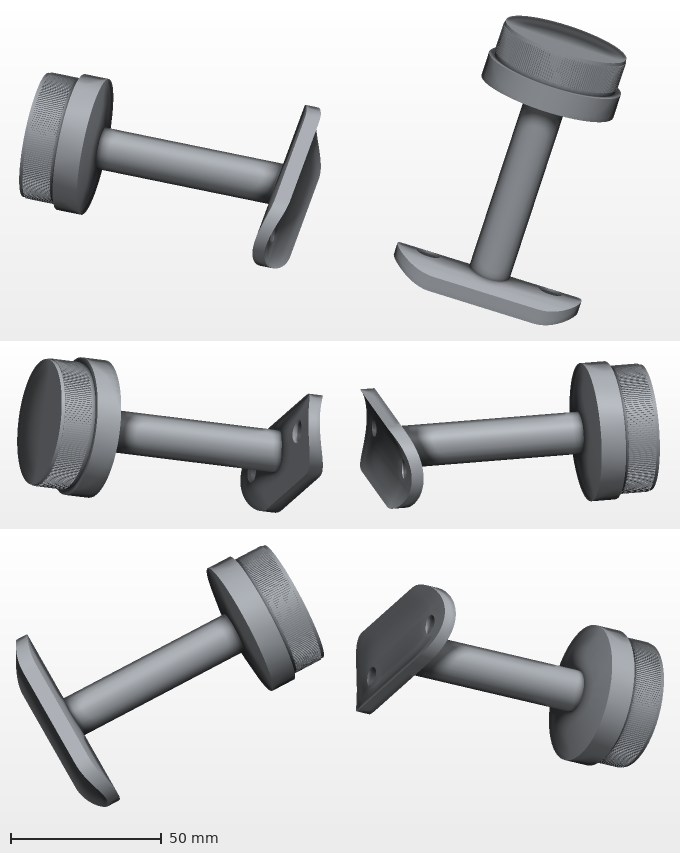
import cadquery as cq
import math


total_length = 92.3

plug_diameter = 42.0
plug_length = 12.0
knurl_diameter = 42.6
knurl_start = 1.2
knurl_end = 10.6
knurl_teeth = 180

flange_diameter = 46.0
rim_thickness = 8.3
dome_height = 2.5
flange_radius = flange_diameter / 2
rim_end = plug_length + rim_thickness
dome_top = rim_end + dome_height

rod_diameter = 14.0

saddle_length = 64.0
saddle_width = 27.9
saddle_thickness = 4.1
saddle_inner_radius = 21.6
saddle_outer_radius = saddle_inner_radius + saddle_thickness
saddle_axis_x = total_length + math.sqrt(saddle_inner_radius**2 - (saddle_width / 2) ** 2)
saddle_face_x = saddle_axis_x - saddle_outer_radius

screw_spacing = 42.45
screw_hole_diameter = 6.5
countersink_diameter = 8.4
countersink_depth = (countersink_diameter - screw_hole_diameter) / 2


def cylinder_along_x(diameter, start, end):
    return cq.Workplane("YZ", origin=(start, 0, 0)).circle(diameter / 2).extrude(end - start)


def make_knurl():
    """Band of straight square teeth, as wide as their gaps, with roots on the plug surface."""
    half_pitch = math.pi / knurl_teeth
    points = []
    for tooth in range(knurl_teeth):
        start = 2 * tooth * half_pitch
        end = start + half_pitch
        for diameter, angle in (
            (plug_diameter, start),
            (knurl_diameter, start),
            (knurl_diameter, end),
            (plug_diameter, end),
        ):
            points.append((diameter / 2 * math.cos(angle), diameter / 2 * math.sin(angle)))
    band = cq.Workplane("YZ", origin=(knurl_start, 0, 0)).polyline(points).close()
    return band.extrude(knurl_end - knurl_start)


def make_head():
    """Front plug, knurled band and rear plug, stacked end to end."""
    front = cylinder_along_x(plug_diameter, 0, knurl_start)
    rear = cylinder_along_x(plug_diameter, knurl_end, plug_length)
    return front.union(make_knurl()).union(rear)


def make_flange():
    """Half profile with a spherical dome, revolved about the X axis."""
    dome_radius = (flange_radius**2 + dome_height**2) / (2 * dome_height)
    dome_centre_x = dome_top - dome_radius
    half_angle = math.asin(flange_radius / dome_radius) / 2
    dome_middle = (
        dome_centre_x + dome_radius * math.cos(half_angle),
        dome_radius * math.sin(half_angle),
    )
    profile = (
        cq.Workplane("XY")
        .moveTo(plug_length, 0)
        .lineTo(plug_length, flange_radius)
        .lineTo(rim_end, flange_radius)
        .threePointArc(dome_middle, (dome_top, 0))
        .close()
    )
    return profile.revolve(360, (0, 0, 0), (1, 0, 0))


def make_saddle():
    """Curved shell trimmed to a stadium outline, with two countersunk holes."""
    shell = (
        cq.Workplane("XZ", origin=(saddle_axis_x, 0, 0))
        .circle(saddle_outer_radius)
        .circle(saddle_inner_radius)
        .extrude(saddle_length / 2, both=True)
    )
    outline = (
        cq.Workplane("YZ", origin=(saddle_face_x, 0, 0))
        .slot2D(saddle_length, saddle_width)
        .extrude(total_length - saddle_face_x)
    )
    saddle = shell.intersect(outline)
    for side in (-1, 1):
        saddle = saddle.cut(make_screw_hole().translate((0, side * screw_spacing / 2, 0)))
    return saddle


def make_screw_hole():
    """Through hole with a 45 degree countersink opening at the saddle face."""
    hole = cylinder_along_x(screw_hole_diameter, saddle_face_x, total_length)
    countersink = cq.Solid.makeCone(
        countersink_diameter / 2,
        screw_hole_diameter / 2,
        countersink_depth,
        pnt=cq.Vector(saddle_face_x, 0, 0),
        dir=cq.Vector(1, 0, 0),
    )
    return hole.union(cq.Workplane(countersink))


rod = cylinder_along_x(rod_diameter, rim_end, saddle_face_x + saddle_thickness / 2)

result = make_head().union(make_flange()).union(rod).union(make_saddle())